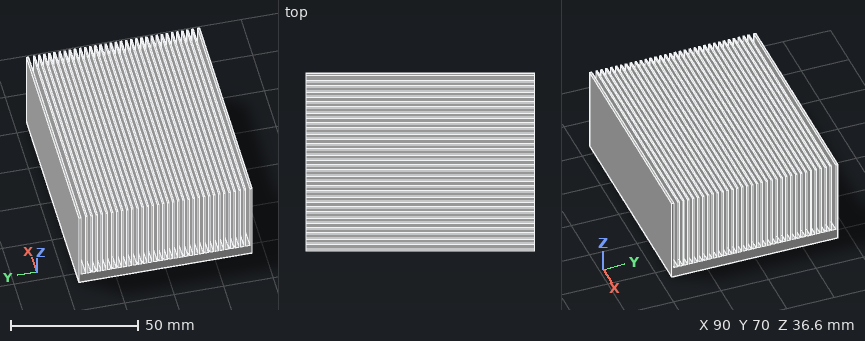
import cadquery as cq

length = 90.0
width = 70.0
height = 36.6

base_thickness = 4.6
outer_fin_thickness = 0.9
inner_fin_thickness = 0.6
inner_fin_count = 32

front_gap = 1.7
back_gap = 1.9

edge_to_gap = width / 2 - outer_fin_thickness
first_fin_y = -edge_to_gap + front_gap + inner_fin_thickness / 2
last_fin_y = edge_to_gap - back_gap - inner_fin_thickness / 2
fin_pitch = (last_fin_y - first_fin_y) / (inner_fin_count - 1)


def plate(center_y, thickness_y, plate_height):
    """Full-length block along X, standing on the Z = 0 plane."""
    block = cq.Workplane("XY").center(0, center_y)
    return block.box(length, thickness_y, plate_height, centered=(True, True, False))


result = plate(0, width, base_thickness)

for side in (-1, 1):
    outer_fin_y = side * (width - outer_fin_thickness) / 2
    result = result.union(plate(outer_fin_y, outer_fin_thickness, height))

for index in range(inner_fin_count):
    inner_fin_y = first_fin_y + index * fin_pitch
    result = result.union(plate(inner_fin_y, inner_fin_thickness, height))